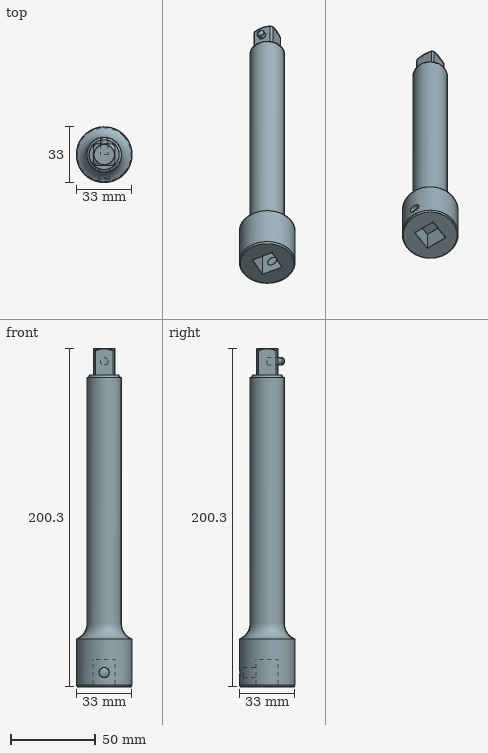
import cadquery as cq
import math

total_length = 200.3
shaft_radius = 10.2
socket_diameter = 33.0
socket_radius = socket_diameter / 2
socket_top = 28.2
flare_top = 37.3
bottom_chamfer = 1.2
bottom_chamfer_width = 0.6

shoulder_top = 184.7
rim_radius = 8.8
cove_bottom = 183.0
cove_top = 184.5

square_width = 12.6
square_corner_chamfer = 1.2
tip_flat_radius = 6.0
tip_angle = 30.0

socket_square_width = 13.0
socket_depth = 16.0

detent_height = 192.7
detent_radius = 2.2
detent_reach = 10.2
detent_dome = 1.5
detent_root = 0.0

retainer_height = 8.5
retainer_radius = 3.0
retainer_reach = 14.5
retainer_end_radius = 6.8
retainer_root = socket_square_width / 2


def make_cross_cylinder(radius, height, start, end):
    """Round cylinder along Y between two Y positions."""
    return (
        cq.Workplane("XZ", origin=(0, start, height))
        .circle(radius)
        .extrude(start - end)
    )


def make_detent_pin():
    """Round pin along +Y with a spherical tip."""
    sphere_radius = (detent_radius**2 + detent_dome**2) / (2 * detent_dome)
    arc_middle_x = detent_radius / 2
    arc_middle_y = detent_reach - sphere_radius + math.sqrt(sphere_radius**2 - arc_middle_x**2)
    return (
        cq.Workplane("XY")
        .moveTo(0, detent_root)
        .lineTo(detent_radius, detent_root)
        .lineTo(detent_radius, detent_reach - detent_dome)
        .threePointArc((arc_middle_x, arc_middle_y), (0, detent_reach))
        .close()
        .revolve(360, (0, 0, 0), (0, 1, 0))
        .translate((0, 0, detent_height))
    )


def make_retaining_pin():
    """Round pin along -Y whose outer end is a shallow cylindrical crown."""
    pin = make_cross_cylinder(
        retainer_radius, retainer_height, -retainer_root, -retainer_reach
    )
    crown = (
        cq.Workplane("YZ", origin=(-retainer_radius, 0, 0))
        .center(retainer_end_radius - retainer_reach, retainer_height)
        .circle(retainer_end_radius)
        .extrude(2 * retainer_radius)
    )
    return pin.intersect(crown)


def make_turned_body():
    """Socket end, concave flare, shaft and coved shoulder as one revolve."""
    flare_run = socket_radius - shaft_radius
    flare_drop = flare_top - socket_top
    flare_radius = (flare_run**2 + flare_drop**2) / (2 * flare_run)
    half_angle = math.asin(flare_drop / flare_radius) / 2
    flare_middle = (
        shaft_radius + flare_radius * (1 - math.cos(half_angle)),
        flare_top - flare_radius * math.sin(half_angle),
    )
    cove_width = shaft_radius - rim_radius
    cove_middle = (
        rim_radius + cove_width * (1 - math.sqrt(0.5)),
        cove_top - (cove_top - cove_bottom) * math.sqrt(0.5),
    )
    return (
        cq.Workplane("XZ")
        .moveTo(0, 0)
        .lineTo(socket_radius - bottom_chamfer_width, 0)
        .lineTo(socket_radius, bottom_chamfer)
        .lineTo(socket_radius, socket_top)
        .threePointArc(flare_middle, (shaft_radius, flare_top))
        .lineTo(shaft_radius, cove_bottom)
        .threePointArc(cove_middle, (rim_radius, cove_top))
        .lineTo(rim_radius, shoulder_top)
        .lineTo(0, shoulder_top)
        .close()
        .revolve(360, (0, 0, 0), (0, 1, 0))
    )


def make_drive_square():
    """Male square with chamfered corners and a conically trimmed tip."""
    square = (
        cq.Workplane("XY")
        .workplane(offset=shoulder_top)
        .rect(square_width, square_width)
        .extrude(total_length - shoulder_top)
        .edges("|Z")
        .chamfer(square_corner_chamfer)
    )
    cone_run = square_width - tip_flat_radius
    cone_drop = cone_run * math.tan(math.radians(tip_angle))
    tip_envelope = (
        cq.Workplane("XZ")
        .moveTo(0, shoulder_top)
        .lineTo(square_width, shoulder_top)
        .lineTo(square_width, total_length - cone_drop)
        .lineTo(tip_flat_radius, total_length)
        .lineTo(0, total_length)
        .close()
        .revolve(360, (0, 0, 0), (0, 1, 0))
    )
    return square.intersect(tip_envelope)


detent_pin = make_detent_pin()

retaining_pin = make_retaining_pin()

socket_square = (
    cq.Workplane("XY").rect(socket_square_width, socket_square_width).extrude(socket_depth)
)

bar = (
    make_turned_body()
    .union(make_drive_square())
    .cut(socket_square)
    .cut(make_cross_cylinder(detent_radius, detent_height, detent_root, square_width))
    .cut(make_cross_cylinder(retainer_radius, retainer_height, 0, -socket_radius))
)

result = cq.Compound.makeCompound([bar.val(), detent_pin.val(), retaining_pin.val()])